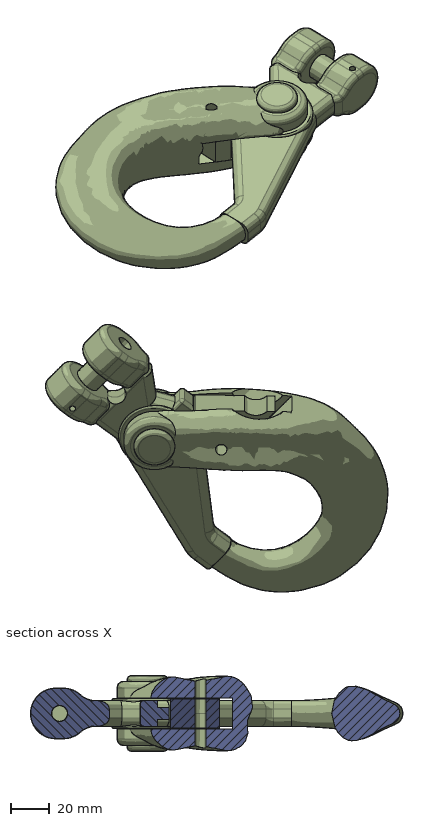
import cadquery as cq
import math


HINGE_RADIUS = 10.5
HALF_THICKNESS = 19.42
HEAD_FILLET = 2.3
SLOT_HALF = 7.8
SLOT_END_Y = -43.5
HUB_HALF = 7.7
HUB_RADIUS = 18.4
HUB_FILLET = 1.0
FAR = 114.8

EYE_RADIUS = 15.7
EYE_HALF = 16.5
EYE_FILLET = 3.5
SHANK_ANGLE = 232.2
BOWL_X = -2.1
BOWL_Y = -73.8
SECTION_FRACTIONS = (0.04, 0.2, 0.5, 0.8, 0.96)
SHANK_STATIONS = (
    (0.0, -15.5, 15.5, (11.9, 16.3, 16.3, 16.3, 11.9)),
    (12.6, -15.5, 16.3, (13.0, 16.5, 16.5, 16.6, 13.0)),
    (26.8, -15.5, 17.8, (13.4, 18.4, 16.5, 19.0, 14.3)),
    (42.0, -15.5, 19.0, (13.8, 19.1, 16.6, 19.1, 15.0)),
    (57.4, -14.7, 18.7, (13.4, 19.1, 16.6, 19.1, 14.5)),
)
BOWL_STATIONS = (
    (160, 28.0, 65.0, (10.0, 18.0, 17.2, 15.0, 9.5)),
    (180, 27.7, 65.8, (8.0, 15.7, 15.1, 8.6, 4.8)),
    (210, 28.1, 64.3, (7.7, 15.3, 13.4, 7.3, 4.2)),
    (241, 28.7, 60.6, (6.9, 13.4, 11.9, 6.5, 3.5)),
    (270, 27.7, 56.6, (5.7, 10.7, 9.8, 6.5, 3.6)),
    (300, 27.7, 52.2, (4.5, 8.5, 8.5, 6.5, 3.8)),
    (330, 27.7, 47.8, (3.8, 6.9, 7.3, 6.3, 3.6)),
    (360, 27.7, 45.0, (3.5, 6.1, 6.7, 6.1, 3.5)),
)
SCOOP_RADIUS = 17.2
SCOOP_X = -53.2
SCOOP_Y = -24.5
LOCK_HOLE_X = -21.0
LOCK_HOLE_Y = -27.2
LOCK_HOLE_RADIUS = 2.9

ARM_HALF = 6.7
ARM_FILLET = 4.4
CLEVIS_LEFT = -29.5
CLEVIS_RIGHT = 17.8
CHEEK_HALF = 13.0
CHEEK_FILLET = 3.0
SHOULDER_FILLET = 3.8
LUG_Y = 45.2
LUG_SPREAD = 2.0
NECK_Y = 27.0
MOUTH_X = -5.7
MOUTH_HALF = 5.7
MOUTH_BOTTOM = 26.0
LOAD_PIN_RADIUS = 6.9
DRIVE_HOLE_RADIUS = 4.0
DRIVE_HOLE_DEPTH = 7.7
ROLL_PIN_X = 11.9
ROLL_PIN_RADIUS = 1.5
TOOTH_LEFT = -26.0
TOOTH_TOP = 3.8
TOOTH_BOTTOM = -5.2
TOOTH_FILLET = 2.0
NECK_LEFT_TOP = (-27.2, 25.3)
NECK_LEFT_LOW = (-16.5, 13.2)
LEG_INNER_TOP = (-22.2, -11.1)
LEG_INNER_BOTTOM = (25.6, -62.4)
LEG_OUTER_BOTTOM = (44.5, -61.2)
LEG_OUTER_TOP = (15.3, 13.0)
LEG_INNER_BEND = 5.7
LEG_OUTER_BEND = 15.3

TRIGGER_HALF = 7.7
TRIGGER_BOTTOM = -37.0
GROOVE_TOP = -24.9
GROOVE_BOTTOM = -33.7
GROOVE_DEPTH = 2.9
TRIGGER_GAP = 0.2
TRIGGER_OUTER_TOP_X = -25.8
TRIGGER_OUTER_BOTTOM_X = -52.0
TRIGGER_INNER_BOTTOM_X = -9.5
TRIGGER_NOSE = (-4.5, -30.6)


def closed_section(centre_x, centre_y, angle, inner, outer, heights):
    """Spline outline in the upright plane through the centre along `angle`."""
    radians = math.radians(angle)
    span = outer - inner
    upper = [(inner + f * span, h) for f, h in zip(SECTION_FRACTIONS, heights)]
    lower = [(r, -h) for r, h in reversed(upper)]
    outline = [(inner, 0)] + upper + [(outer, 0)] + lower
    points = [
        cq.Vector(centre_x + r * math.cos(radians), centre_y + r * math.sin(radians), z)
        for r, z in outline
    ]
    return cq.Wire.assembleEdges([cq.Edge.makeSpline(points, periodic=True)])


def make_hook_blank():
    along = math.radians(SHANK_ANGLE)
    sections = [
        closed_section(d * math.cos(along), d * math.sin(along), SHANK_ANGLE - 90, inner, outer, heights)
        for d, inner, outer, heights in SHANK_STATIONS
    ]
    sections += [
        closed_section(BOWL_X, BOWL_Y, angle, inner, outer, heights)
        for angle, inner, outer, heights in BOWL_STATIONS
    ]
    body = cq.Workplane(obj=cq.Solid.makeLoft(sections))
    eye = (
        cq.Workplane().circle(EYE_RADIUS).extrude(EYE_HALF, both=True)
        .faces("|Z").edges().fillet(EYE_FILLET)
    )
    return body.union(eye)


def make_hinge_pin():
    return (
        cq.Workplane().circle(HINGE_RADIUS).extrude(HALF_THICKNESS, both=True)
        .faces("|Z").edges().fillet(HEAD_FILLET)
    )


def lock_hole():
    return (
        cq.Workplane().center(LOCK_HOLE_X, LOCK_HOLE_Y)
        .circle(LOCK_HOLE_RADIUS).extrude(FAR, both=True)
    )


def make_hook():
    slot = (
        cq.Workplane().rect(2 * FAR, FAR).extrude(SLOT_HALF, both=True)
        .translate((0, SLOT_END_Y + FAR / 2, 0))
    )
    scoop = cq.Workplane().sphere(SCOOP_RADIUS).translate((SCOOP_X, SCOOP_Y, 0))
    hook = make_hook_blank().cut(slot).cut(scoop).cut(lock_hole())
    return hook.union(make_hinge_pin())


def make_cheek(left, right):
    """One clevis cheek between two X positions, with rounded rims on its sides."""
    front = LUG_Y + LUG_SPREAD
    back = LUG_Y - LUG_SPREAD
    diagonal = CHEEK_HALF * math.sqrt(0.5)
    reach = back - NECK_Y
    blend = (reach**2 + ARM_HALF**2 - CHEEK_HALF**2) / (2 * (CHEEK_HALF - ARM_HALF))
    turn = math.asin(reach / (CHEEK_HALF + blend))
    hollow_mid = (
        NECK_Y + blend * math.sin(turn / 2),
        ARM_HALF + blend - blend * math.cos(turn / 2),
    )
    join = (back - CHEEK_HALF * math.sin(turn), CHEEK_HALF * math.cos(turn))
    round_mid = (back - CHEEK_HALF * math.sin(turn / 2), CHEEK_HALF * math.cos(turn / 2))
    cheek = (
        cq.Workplane("YZ", origin=(left, 0, 0))
        .moveTo(NECK_Y, 0)
        .lineTo(NECK_Y, ARM_HALF)
        .threePointArc(hollow_mid, join)
        .threePointArc(round_mid, (back, CHEEK_HALF))
        .lineTo(front, CHEEK_HALF)
        .threePointArc((front + diagonal, diagonal), (front + CHEEK_HALF, 0))
        .mirrorX()
        .extrude(right - left)
    )
    shouldered = cheek.edges("<Y and |Z").fillet(SHOULDER_FILLET)
    return shouldered.faces("<X or >X").edges().fillet(CHEEK_FILLET)


def make_clevis():
    cheeks = make_cheek(CLEVIS_LEFT, MOUTH_X - MOUTH_HALF)
    return cheeks.union(make_cheek(MOUTH_X + MOUTH_HALF, CLEVIS_RIGHT))


def make_plate():
    """Flat neck and leg, with rounded rims, cut square where the leg meets the hook tip."""
    inner_x = LEG_INNER_BOTTOM[0]
    outer_x = LEG_OUTER_BOTTOM[0]
    neck_top = MOUTH_BOTTOM + MOUTH_HALF
    overrun_y = BOWL_Y - 2 * ARM_HALF
    outline = [
        (NECK_LEFT_TOP[0], neck_top), NECK_LEFT_TOP, NECK_LEFT_LOW,
        (LEG_INNER_TOP[0], 0), LEG_INNER_TOP, LEG_INNER_BOTTOM, (inner_x, overrun_y),
        (outer_x, overrun_y), LEG_OUTER_BOTTOM, LEG_OUTER_TOP, (LEG_OUTER_TOP[0], neck_top),
    ]
    plate = cq.Workplane().polyline(outline).close().extrude(ARM_HALF, both=True)
    for (x, y), radius in ((LEG_INNER_BOTTOM, LEG_INNER_BEND), (LEG_OUTER_BOTTOM, LEG_OUTER_BEND)):
        plate = plate.edges("|Z").edges(cq.selectors.NearestToPointSelector((x, y, 0))).fillet(radius)
    plate = plate.faces("|Z").edges().fillet(ARM_FILLET)
    overrun = cq.Workplane().rect(2 * FAR, FAR).extrude(FAR, both=True)
    mouth = (
        cq.Workplane().center(MOUTH_X, neck_top).circle(MOUTH_HALF).extrude(FAR, both=True)
    )
    return plate.cut(overrun.translate((0, BOWL_Y - FAR / 2, 0))).cut(mouth)


def make_hub():
    hub = (
        cq.Workplane().circle(HUB_RADIUS).extrude(HUB_HALF, both=True)
        .faces("|Z").edges().fillet(HUB_FILLET)
    )
    tooth = (
        cq.Workplane()
        .center(TOOTH_LEFT / 2, (TOOTH_TOP + TOOTH_BOTTOM) / 2)
        .rect(-TOOTH_LEFT, TOOTH_TOP - TOOTH_BOTTOM)
        .extrude(ARM_HALF, both=True)
    )
    tooth = tooth.edges("<X or (>Y and (not |Y))").fillet(TOOTH_FILLET)
    return hub.union(tooth)


def make_arm():
    arm = make_clevis().union(make_plate()).union(make_hub())
    load_pin = (
        cq.Workplane("YZ", origin=(CLEVIS_LEFT + CHEEK_FILLET, LUG_Y, 0))
        .circle(LOAD_PIN_RADIUS)
        .extrude(CLEVIS_RIGHT - CLEVIS_LEFT - 2 * CHEEK_FILLET)
    )
    drive_hole = (
        cq.Workplane("YZ", origin=(CLEVIS_LEFT, LUG_Y, 0))
        .circle(DRIVE_HOLE_RADIUS).extrude(DRIVE_HOLE_DEPTH)
    )
    roll_pin_hole = (
        cq.Workplane().center(ROLL_PIN_X, LUG_Y).circle(ROLL_PIN_RADIUS).extrude(FAR, both=True)
    )
    hinge_hole = cq.Workplane().circle(HINGE_RADIUS).extrude(FAR, both=True)
    return arm.union(load_pin).cut(drive_hole).cut(roll_pin_hole).cut(hinge_hole)


def make_trigger():
    """Wedge in the shank slot between the tooth, the leg and the outer side of the shank."""
    top_y = TOOTH_BOTTOM - TRIGGER_GAP
    inner_x = LEG_INNER_TOP[0] - TRIGGER_GAP
    inner_y = LEG_INNER_TOP[1] - TRIGGER_GAP
    slope = (TRIGGER_OUTER_BOTTOM_X - TRIGGER_OUTER_TOP_X) / (TRIGGER_BOTTOM - top_y)

    def outer_x(y):
        return TRIGGER_OUTER_TOP_X + slope * (y - top_y)

    groove_y = (GROOVE_TOP + GROOVE_BOTTOM) / 2
    return (
        cq.Workplane()
        .moveTo(inner_x, top_y)
        .lineTo(inner_x, inner_y)
        .lineTo(*TRIGGER_NOSE)
        .lineTo(TRIGGER_INNER_BOTTOM_X, TRIGGER_BOTTOM)
        .lineTo(TRIGGER_OUTER_BOTTOM_X, TRIGGER_BOTTOM)
        .lineTo(outer_x(GROOVE_BOTTOM), GROOVE_BOTTOM)
        .threePointArc((outer_x(groove_y) + GROOVE_DEPTH, groove_y), (outer_x(GROOVE_TOP), GROOVE_TOP))
        .lineTo(TRIGGER_OUTER_TOP_X, top_y)
        .close()
        .extrude(TRIGGER_HALF, both=True)
        .cut(lock_hole())
    )


hook = make_hook()
arm = make_arm()
trigger = make_trigger()
result = cq.Compound.makeCompound([hook.val(), arm.val(), trigger.val()])